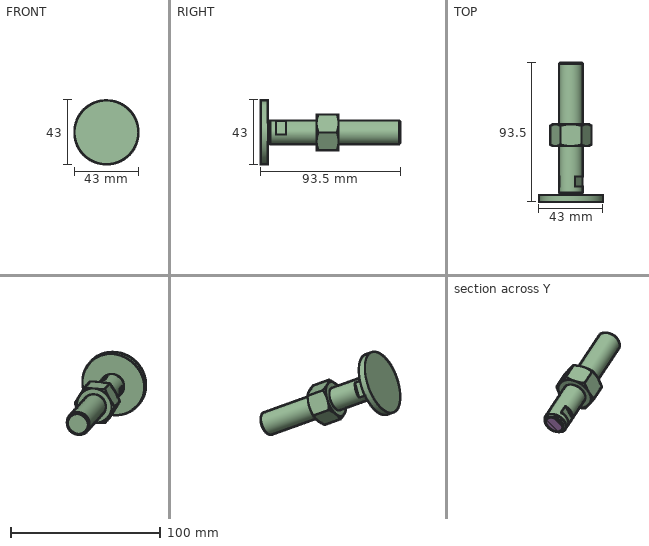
import cadquery as cq
import math

PLATE_DIAMETER = 43
PLATE_THICKNESS = 5.0

TOTAL_LENGTH = 93.5
STEM_DIAMETER = 16.0
STEM_BOTTOM = 5.4
STEM_BOTTOM_CHAMFER = 1.2
STEM_TOP_CHAMFER = 1.0
NECK_DIAMETER = 12.5

FLATS_START = 10.5
FLATS_LENGTH = 6.6
ACROSS_FLATS = 12.1
FLATS_ANGLE = 30

NUT_START = 37.5
NUT_HEIGHT = 14.7
NUT_ACROSS_FLATS = 24.0
NUT_CHAMFER_ANGLE = 30


def cylinder_along_y(diameter, start, length):
    """Cylinder about the Y axis, growing toward +Y from start."""
    plane = cq.Workplane("XZ", origin=(0, start, 0))
    return plane.circle(diameter / 2).extrude(-length)


def wrench_flat_cutter(angle):
    """Block that removes the stem outside one flat, facing the given angle from +X toward +Z."""
    depth = STEM_DIAMETER / 2
    return (
        cq.Workplane("XY")
        .box(depth, FLATS_LENGTH, STEM_DIAMETER)
        .translate(((ACROSS_FLATS + depth) / 2, FLATS_START + FLATS_LENGTH / 2, 0))
        .rotate((0, 0, 0), (0, 1, 0), -angle)
    )


def make_plate():
    return cylinder_along_y(PLATE_DIAMETER, 0, PLATE_THICKNESS)


def make_stem():
    shank = cylinder_along_y(STEM_DIAMETER, STEM_BOTTOM, TOTAL_LENGTH - STEM_BOTTOM)
    shank = shank.faces("<Y").chamfer(STEM_BOTTOM_CHAMFER)
    shank = shank.faces(">Y").chamfer(STEM_TOP_CHAMFER)
    for angle in (FLATS_ANGLE, FLATS_ANGLE + 180):
        shank = shank.cut(wrench_flat_cutter(angle))
    neck = cylinder_along_y(NECK_DIAMETER, PLATE_THICKNESS, STEM_BOTTOM - PLATE_THICKNESS)
    return shank.union(neck)


def make_nut():
    corner_radius = NUT_ACROSS_FLATS / math.sqrt(3)
    face_radius = NUT_ACROSS_FLATS / 2
    chamfer_drop = (corner_radius - face_radius) * math.tan(math.radians(NUT_CHAMFER_ANGLE))
    nut_end = NUT_START + NUT_HEIGHT
    hexagon = (
        cq.Workplane("XZ", origin=(0, NUT_START, 0))
        .polygon(6, 2 * corner_radius)
        .extrude(-NUT_HEIGHT)
    )
    envelope = (
        cq.Workplane("XY")
        .moveTo(0, NUT_START)
        .lineTo(face_radius, NUT_START)
        .lineTo(corner_radius, NUT_START + chamfer_drop)
        .lineTo(corner_radius, nut_end - chamfer_drop)
        .lineTo(face_radius, nut_end)
        .lineTo(0, nut_end)
        .close()
        .revolve(360, (0, 0, 0), (0, 1, 0))
    )
    bore = cylinder_along_y(STEM_DIAMETER, NUT_START, NUT_HEIGHT)
    return hexagon.intersect(envelope).cut(bore)


plate = make_plate()
stem = make_stem()
nut = make_nut()

result = cq.Compound.makeCompound([plate.val(), stem.val(), nut.val()])